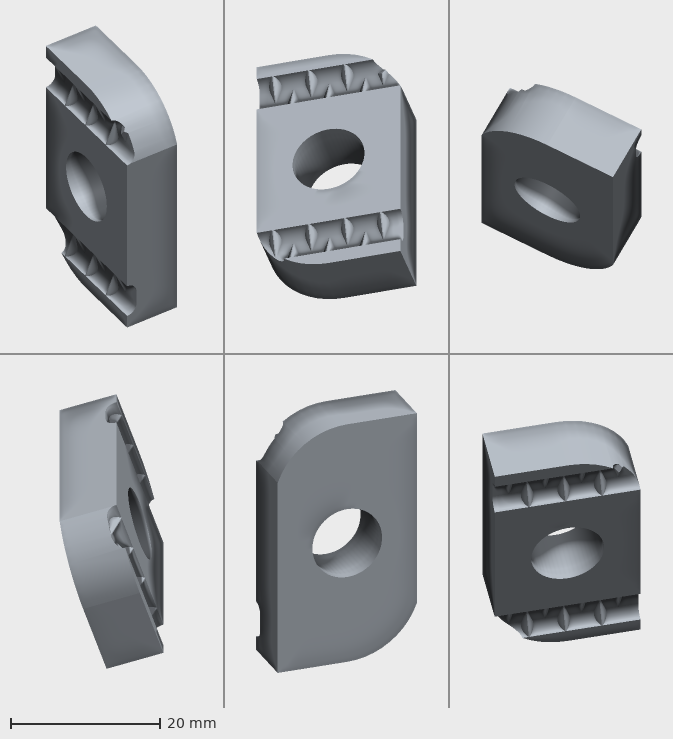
import cadquery as cq

width = 20.0
thickness = 8.0
height = 35.0
bore_diameter = 10.0

corner_drop = 7.0

groove_width = 5.1
groove_depth = 1.5
groove_offset = 2.0

tooth_length = 3.5
tooth_half_base = 1.25
ridge_half_width = 0.07
tooth_pitch = 5.0
first_upper_tooth = -7.77
upper_tooth_count = 4
lower_tooth_count = 3

trim_ridge_height = 0.7
trim_slope_x = 0.41
trim_slope_z = -0.65
trim_block_size = 10.5

half_width = width / 2
half_height = height / 2
face_y = -thickness / 2
floor_y = face_y + groove_depth


def make_block():
    """Plate with two diagonally opposite rounded corners and a central bore."""
    corner_radius = (half_width**2 + corner_drop**2) / (2 * corner_drop)
    side_z = half_height - corner_drop
    outline = (
        cq.Workplane("XZ", origin=(0, thickness / 2, 0))
        .moveTo(-half_width, half_height)
        .lineTo(0, half_height)
        .radiusArc((half_width, side_z), corner_radius)
        .lineTo(half_width, -half_height)
        .lineTo(0, -half_height)
        .radiusArc((-half_width, -side_z), corner_radius)
        .close()
    )
    bore = cq.Workplane("XZ").circle(bore_diameter / 2).extrude(thickness, both=True)
    return outline.extrude(thickness).cut(bore)


def make_groove(center_z):
    """Groove cutter whose walls are quarter rounds meeting a flat floor."""
    top = center_z + groove_width / 2
    bottom = center_z - groove_width / 2
    return (
        cq.Workplane("YZ", origin=(-half_width, 0, 0))
        .moveTo(face_y, top)
        .radiusArc((floor_y, top - groove_depth), groove_depth)
        .lineTo(floor_y, bottom + groove_depth)
        .radiusArc((face_y, bottom), groove_depth)
        .close()
        .extrude(width)
    )


def make_tooth(x, wall_z, direction):
    """Wedge falling from a groove wall to a point on the floor; direction is its sense along Z."""
    base = cq.Vector(x, floor_y, wall_z)
    tip = base + cq.Vector(0, 0, direction * tooth_length)
    corners = [
        base + cq.Vector(-tooth_half_base, 0, 0),
        base + cq.Vector(tooth_half_base, 0, 0),
        base + cq.Vector(ridge_half_width, -groove_depth, 0),
        base + cq.Vector(-ridge_half_width, -groove_depth, 0),
    ]
    tips = [tip + cq.Vector(side * ridge_half_width, 0, 0) for side in (-1, 1)]
    left, right, ridge_right, ridge_left = corners
    loops = [
        corners,
        [left, right, tips[1], tips[0]],
        [ridge_left, ridge_right, tips[1], tips[0]],
        [left, ridge_left, tips[0]],
        [right, ridge_right, tips[1]],
    ]
    faces = [cq.Face.makeFromWires(cq.Wire.makePolygon(loop, close=True)) for loop in loops]
    return cq.Workplane(cq.Solid.makeSolid(cq.Shell.makeShell(faces)))


def trim_tooth(tooth, x, wall_z):
    """Bevel a downward tooth so that its ridge starts low above the groove floor."""
    ridge_z = wall_z - tooth_length * (1 - trim_ridge_height / groove_depth)
    plane = cq.Plane(
        origin=(x, floor_y - trim_ridge_height, ridge_z),
        normal=(-trim_slope_x, -1, -trim_slope_z),
    )
    waste = cq.Workplane(plane).rect(trim_block_size, trim_block_size).extrude(trim_block_size)
    return tooth.cut(waste)


result = make_block()
groove_center = half_height - groove_offset - groove_width / 2
for center_z in (groove_center, -groove_center):
    upper_wall_z = center_z + groove_width / 2
    lower_wall_z = center_z - groove_width / 2
    groove = make_groove(center_z)
    for i in range(upper_tooth_count):
        x = first_upper_tooth + i * tooth_pitch
        tooth = make_tooth(x, upper_wall_z, -1)
        at_rounded_corner = center_z > 0 and i == upper_tooth_count - 1
        if at_rounded_corner:
            tooth = trim_tooth(tooth, x, upper_wall_z)
        groove = groove.cut(tooth)
    for i in range(lower_tooth_count):
        x = first_upper_tooth + (i + 0.5) * tooth_pitch
        groove = groove.cut(make_tooth(x, lower_wall_z, 1))
    result = result.cut(groove)